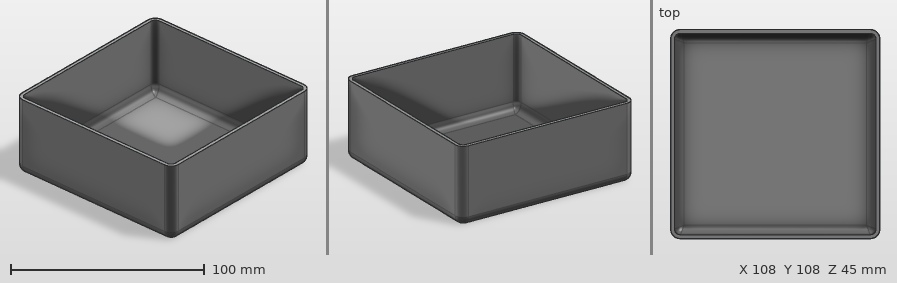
import cadquery as cq

side = 108.0
height = 45.0
wall = 2.0
floor = 2.0

outer_radius = 5.0
inner_corner_radius = outer_radius - wall
inner_floor_radius = 5.0


def outer_body():
    """Solid block with rounded upright corners and a rounded bottom rim."""
    block = cq.Workplane("XY").box(side, side, height, centered=(True, True, False))
    return block.edges("|Z").fillet(outer_radius).faces("<Z").edges().fillet(outer_radius)


def cavity():
    """Hollow of the tray: the floor is rounded first, then the corners down to the floor."""
    inner_side = side - 2 * wall
    block = (
        cq.Workplane("XY")
        .workplane(offset=floor)
        .box(inner_side, inner_side, height - floor, centered=(True, True, False))
    )
    rounded_floor = block.faces("<Z").edges().fillet(inner_floor_radius)
    return rounded_floor.edges("|Z").fillet(inner_corner_radius)


result = outer_body().cut(cavity())